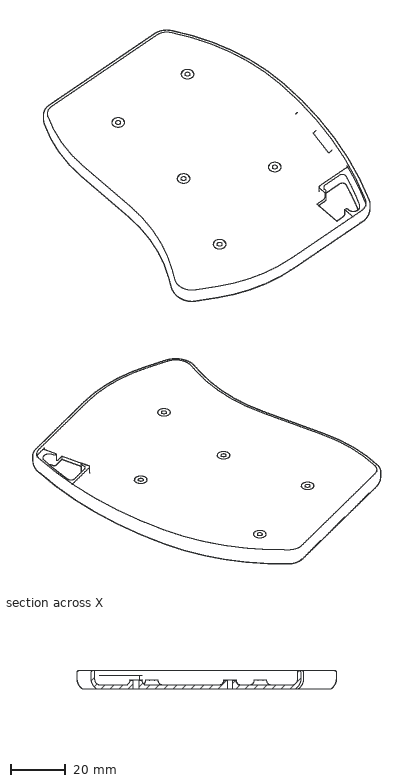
import cadquery as cq
import math

length = 115.8
height = 6.8
back_y = 95.1

back_peak_x = 49.1
back_left_radius = 83.9
back_right_radius = 150.6
front_y = 12.0
front_start_x = 30.5
front_end_x = 56.4
front_left_radius = 60.2
front_dip_radius = 64.9
right_bend_y = 41.2
right_bend_radius = 60.2
tip_slope = math.radians(30)
back_left_corner_radius = 7.0
back_right_corner_radius = 6.6
front_left_corner_radius = 6.3
tip_radius = 7.9

wall = 1.5
floor_height = 1.5
rim_round = 0.9
belly_radius = 4.9
belly_top = 3.9
inner_round = 2.0

boss_places = [(20.7, 73.4), (21.2, 39.0), (57.2, 39.0), (75.3, 67.6), (89.5, 27.9)]
boss_diameter = 4.6
boss_hole_diameter = 1.9
boss_height = 1.7
boss_foot_round = 1.6

housing_left = 94.0
housing_front = 72.2
housing_top = 5.0
housing_round = 0.9
housing_wall = 1.0
housing_rim_wall = 3.8
opening_left_round = 1.5
opening_right_round = 2.2
notch_round = 0.7
notch_left = 97.8
notch_right = 108.6
notch_front = 68.3


def arc_y(x, centre_x, centre_y, radius):
    """Height of an upper circular arc at x."""
    return centre_y + math.sqrt(radius**2 - (x - centre_x) ** 2)


def make_outline():
    """Closed outline with sharp corners, and its four corners with their radii."""
    peak = (back_peak_x, back_y)

    def back_left(x):
        return (x, arc_y(x, back_peak_x, back_y - back_left_radius, back_left_radius))

    def back_right(x):
        return (x, arc_y(x, back_peak_x, back_y - back_right_radius, back_right_radius))

    def front_left(x):
        centre_y = front_y + front_left_radius
        return (x, centre_y - math.sqrt(front_left_radius**2 - (x - front_start_x) ** 2))

    def front_dip(angle):
        x = front_end_x + front_dip_radius * math.sin(angle)
        return (x, front_y - front_dip_radius * (1 - math.cos(angle)))

    def right_bend(angle):
        x = length - right_bend_radius * (1 - math.cos(angle))
        return (x, right_bend_y - right_bend_radius * math.sin(angle))

    dip_end = front_dip(tip_slope)
    bend_end = right_bend(tip_slope)
    run = (bend_end[0] - dip_end[0]) * math.cos(tip_slope) - (bend_end[1] - dip_end[1]) * math.sin(tip_slope)
    tip = (dip_end[0] + run * math.cos(tip_slope), dip_end[1] - run * math.sin(tip_slope))

    outline = (
        cq.Workplane("XY")
        .moveTo(*back_left(0))
        .threePointArc(back_left(back_peak_x / 2), peak)
        .threePointArc(back_right((back_peak_x + length) / 2), back_right(length))
        .lineTo(length, right_bend_y)
        .threePointArc(right_bend(tip_slope / 2), bend_end)
        .lineTo(*tip)
        .lineTo(*dip_end)
        .threePointArc(front_dip(tip_slope / 2), (front_end_x, front_y))
        .lineTo(front_start_x, front_y)
        .threePointArc(front_left(front_start_x / 2), front_left(0))
        .close()
    )
    corners = [
        (back_left(0), back_left_corner_radius),
        (back_right(length), back_right_corner_radius),
        (front_left(0), front_left_corner_radius),
        (tip, tip_radius),
    ]
    return outline, corners


def make_block():
    """Solid tray blank with rounded upright corners."""
    outline, corners = make_outline()
    block = outline.extrude(height)
    for (x, y), radius in corners:
        block = block.edges(cq.NearestToPointSelector((x, y, height / 2))).fillet(radius)
    return block


def inset_prism(block, inset, bottom, top):
    """The blank's outline moved inwards and extruded from bottom to top."""
    wire = block.faces("<Z").wires().val()
    if inset > 0:
        wire = wire.offset2D(-inset)[0]
    prism = cq.Workplane(cq.Solid.extrudeLinear(wire, [], cq.Vector(0, 0, top - bottom)))
    return prism.translate((0, 0, bottom))


def box(x0, x1, y0, y1, z0, z1):
    """Box between two corners."""
    return cq.Workplane("XY").box(x1 - x0, y1 - y0, z1 - z0, centered=False).translate((x0, y0, z0))


def make_shell(block):
    """Solid dish: round belly cut flat at the bottom, small round along the rim."""
    belly = inset_prism(block, 0, belly_top - belly_radius, height)
    belly = belly.faces("<Z").edges().fillet(belly_radius)
    belly = belly.faces(">Z").edges().fillet(rim_round)
    return belly.intersect(block)


def make_cavity(block):
    """Hollow of the tray, leaving the connector housing standing with a flared foot."""
    margin = 0.1
    lower = inset_prism(block, wall, floor_height, housing_top)
    lower = lower.faces("<Z").edges().fillet(inner_round)
    housing = box(housing_left, length, housing_front, back_y, 0, housing_top)
    housing = housing.edges("|Z and <X and <Y").fillet(housing_round)
    lower = lower.cut(housing)
    joint = cq.selectors.BoxSelector(
        (housing_left - margin, housing_front - margin, floor_height - margin),
        (length, back_y, housing_top - margin),
    )
    lower = lower.edges(joint).fillet(housing_round)
    return lower.union(inset_prism(block, wall, housing_top, height))


def make_opening(block):
    """Opening through the housing, with a notch towards the front."""
    left = housing_left + housing_wall
    front = housing_front + housing_wall
    opening = inset_prism(block, housing_rim_wall, 0, height)
    opening = opening.intersect(box(left, length, front, back_y, 0, height))
    opening = opening.edges("|Z and <X").fillet(opening_left_round)
    right_corner = cq.NearestToPointSelector((length - housing_rim_wall, front, height / 2))
    opening = opening.edges(right_corner).fillet(opening_right_round)
    opening = opening.union(box(notch_left, notch_right, notch_front, front + housing_wall, 0, height))
    for x in (notch_left, notch_right):
        neck = cq.NearestToPointSelector((x, front, height / 2))
        opening = opening.edges(neck).fillet(notch_round)
    return opening


def make_boss():
    """Boss of revolution with a concave flared foot, standing on the floor."""
    radius = boss_diameter / 2
    top = floor_height + boss_height
    foot_x = radius + boss_foot_round
    foot_z = floor_height + boss_foot_round
    bend = boss_foot_round * math.sqrt(0.5)
    return (
        cq.Workplane("XZ")
        .moveTo(0, floor_height / 2)
        .lineTo(foot_x, floor_height / 2)
        .lineTo(foot_x, floor_height)
        .threePointArc((foot_x - bend, foot_z - bend), (radius, foot_z))
        .lineTo(radius, top)
        .lineTo(0, top)
        .close()
        .revolve(360, (0, 0, 0), (0, 1, 0))
    )


block = make_block()
result = make_shell(block).cut(make_cavity(block)).cut(make_opening(block))

boss = make_boss()
boss_hole = cq.Workplane("XY").circle(boss_hole_diameter / 2).extrude(height)
for x, y in boss_places:
    result = result.union(boss.translate((x, y, 0))).cut(boss_hole.translate((x, y, 0)))